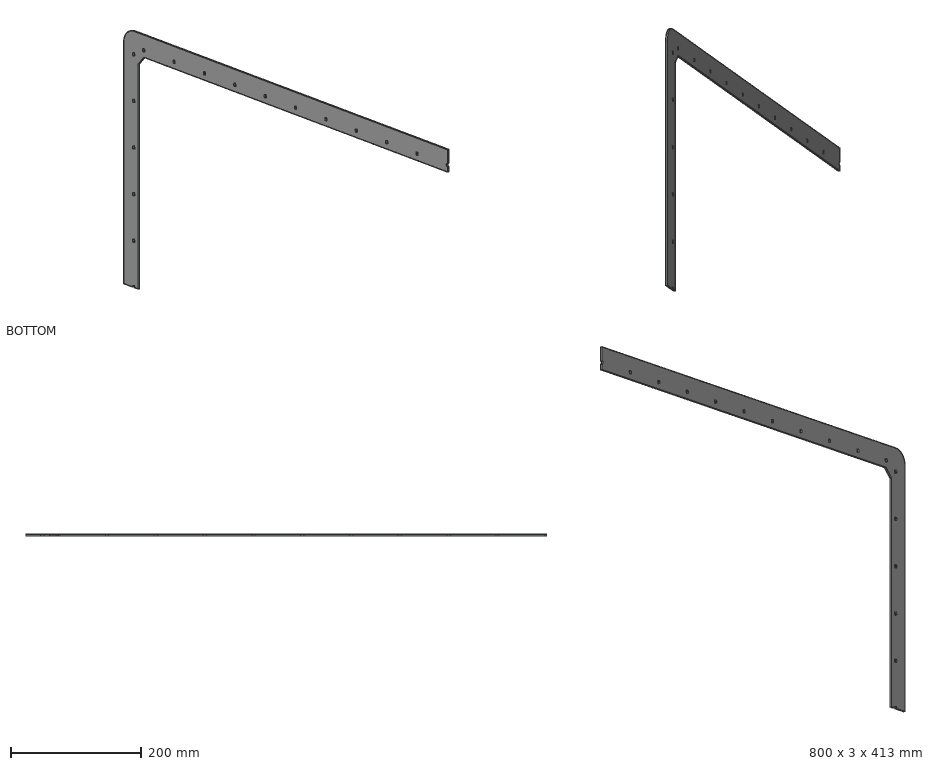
import cadquery as cq

length = 800.0
height = 413.0
thickness = 3.0
arm_width = 36.0
corner_radius = 25.0
gusset_leg = 14.0

hole_diameter = 5.2
hole_edge_distance = 25.0
hole_pitch = 600 / 8
first_hole_along_top = 2 * hole_edge_distance
first_hole_down_side = hole_pitch / 2
top_hole_count = 11
side_hole_count = 6

left = -length / 2
right = length / 2
bottom = -height / 2
top = height / 2
inner_x = left + arm_width
inner_z = top - arm_width


def make_plate():
    """L-shaped plate with a rounded outer corner and a sloped inner corner."""
    outline = (
        cq.Workplane("XZ")
        .moveTo(left, bottom)
        .lineTo(inner_x, bottom)
        .lineTo(inner_x, inner_z - gusset_leg)
        .lineTo(inner_x + gusset_leg, inner_z)
        .lineTo(right, inner_z)
        .lineTo(right, top)
        .lineTo(left + corner_radius, top)
        .radiusArc((left, top - corner_radius), -corner_radius)
        .close()
    )
    return outline.extrude(thickness / 2, both=True)


def make_holes():
    """Through holes at equal pitch along both arms."""
    top_row = [
        (left + first_hole_along_top + i * hole_pitch, top - hole_edge_distance)
        for i in range(top_hole_count)
    ]
    side_row = [
        (left + hole_edge_distance, top - first_hole_down_side - i * hole_pitch)
        for i in range(side_hole_count)
    ]
    return (
        cq.Workplane("XZ")
        .pushPoints(top_row + side_row)
        .circle(hole_diameter / 2)
        .extrude(thickness, both=True)
    )


result = make_plate().cut(make_holes())